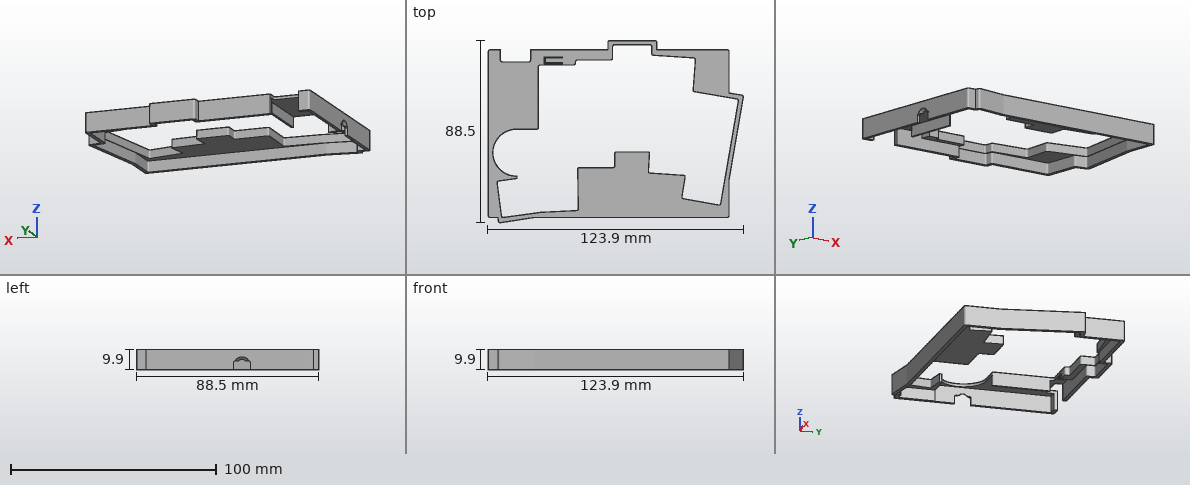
import cadquery as cq
import math


height = 9.9
plate_thickness = 4.3
thin_roof = 1.5
plate_underside = height - plate_thickness
pocket_top = height - thin_roof

wall = 1.9
corner_radius = 1.0
body_width = 117.0
body_depth = 81.5
back_bump_left = 58.05
back_bump_right = 81.9
back_bump_depth = 4.45
back_bump_y = body_depth + back_bump_depth
thumb_left = 4.7
thumb_tip_x = 5.0
thumb_tip_y = -2.7
thumb_right = 22.4
wing_front_y = 18.5
wing_tip_x = 124.04
wing_tip_y = 59.35
wing_back_y = 60.5

notch_left = 5.95
notch_right = 20.6
notch_depth = 5.9

opening_radius = 0.8
plate_left_edge = 24.4
button_lip_y = 74.0
row_back_y = 76.5
bump_opening_left = 60.4
bump_opening_right = 79.4
bump_opening_back = 83.8
front_step_left = 43.4
front_step_middle = 61.4
front_step_low_y = 24.3
front_step_high_y = 31.9

ball_x = 13.65
ball_y = 31.5
ball_radius = 11.35
ball_back_y = ball_y + ball_radius
prong_end_x = 14.1
prong_end_y = 18.95

pocket_wall = 1.5
pocket_front = 20.5
pocket_back = body_depth - wall
button_pocket_right = 36.2
rib_thickness = 1.0
rib_bottom = 3.0
rib_back = 72.0

slit_width = 0.4
slit_left = 27.2
slit_right = 35.9
slit_front = 74.8
slit_back = 77.9

jack_y = 34.8
jack_slot_width = 8.4
jack_slot_height = 4.2
jack_slot_chamfer = 0.6
jack_axis_z = 2.75
jack_outer_radius = 3.6
jack_inner_radius = 2.35


def direction(start, end):
    length = math.dist(start, end)
    return ((end[0] - start[0]) / length, (end[1] - start[1]) / length)


def rounded_outline(corners):
    """Closed outline through (x, y, radius) corners; a zero radius leaves a corner sharp."""
    rounds = []
    for i, (x, y, radius) in enumerate(corners):
        back = direction((x, y), corners[i - 1][:2])
        ahead = direction((x, y), corners[(i + 1) % len(corners)][:2])
        half_angle = math.acos(back[0] * ahead[0] + back[1] * ahead[1]) / 2
        setback = radius / math.tan(half_angle)
        inset = radius / math.sin(half_angle) - radius
        bisector = direction((0, 0), (back[0] + ahead[0], back[1] + ahead[1]))
        start = (x + back[0] * setback, y + back[1] * setback)
        middle = (x + bisector[0] * inset, y + bisector[1] * inset)
        end = (x + ahead[0] * setback, y + ahead[1] * setback)
        rounds.append((start, middle, end, radius))
    outline = cq.Workplane("XY").moveTo(*rounds[0][2])
    for start, middle, end, radius in rounds[1:] + rounds[:1]:
        outline = outline.lineTo(*start)
        if radius > 0:
            outline = outline.threePointArc(middle, end)
    return outline.close()


def block(x0, x1, y0, y1, z0, z1):
    size = (x1 - x0, y1 - y0, z1 - z0)
    return cq.Workplane("XY").box(*size, centered=False).translate((x0, y0, z0))


def body_outline(radius):
    """Outer outline, with the given radius on its outward corners."""
    return rounded_outline(
        [
            (0, 0, radius),
            (thumb_left, 0, 0),
            (thumb_tip_x, thumb_tip_y, radius),
            (thumb_right, 0, 0),
            (body_width, 0, radius),
            (body_width, wing_front_y, 0),
            (wing_tip_x, wing_tip_y, radius),
            (body_width, wing_back_y, 0),
            (body_width, body_depth, radius),
            (back_bump_right, body_depth, 0),
            (back_bump_right, back_bump_y, radius),
            (back_bump_left, back_bump_y, radius),
            (back_bump_left, body_depth, 0),
            (0, body_depth, radius),
        ]
    )


def hollow():
    """Space inside the perimeter wall, under the plate."""
    inside = body_outline(0).offset2D(-wall, "intersection").extrude(plate_underside)
    return inside.edges("|Z").fillet(opening_radius)


def electronics_pocket():
    """Deeper hollow under the thin roof, reaching right below the reset button."""
    rib_left = plate_left_edge - rib_thickness
    main = block(pocket_wall, rib_left, pocket_front, pocket_back, 0, pocket_top)
    below_button = block(rib_left, button_pocket_right, rib_back, pocket_back, 0, pocket_top)
    return main.union(below_button)


def plate_edge_rib():
    rib_left = plate_left_edge - rib_thickness
    return block(rib_left, plate_left_edge, ball_back_y, rib_back, rib_bottom, height)


def key_opening():
    """Opening through the plate: straight key rows, tilted key groups and the round hole."""
    rounded_corners = [
        (plate_left_edge, ball_back_y),
        (plate_left_edge, button_lip_y),
        (42.3, button_lip_y),
        (42.5, row_back_y),
        (bump_opening_left, row_back_y),
        (bump_opening_left, bump_opening_back),
        (bump_opening_right, bump_opening_back),
        (bump_opening_right, 78.8),
        (100.6, 77.4),
        (99.4, 61.2),
        (121.5, 57.4),
        (112.7, 6.0),
        (94.0, 9.35),
        (95.8, 20.5),
        (77.8, 21.7),
        (78.4, front_step_high_y),
        (front_step_middle, front_step_high_y),
        (front_step_middle, front_step_low_y),
        (front_step_left, front_step_low_y),
        (43.7, 3.5),
    ]
    thumb_corners = [
        (25.5, 2.6, 0),
        (6.6, 0.0, opening_radius),
        (4.3, 17.6, opening_radius),
        (prong_end_x, prong_end_y, 0),
        (prong_end_x, ball_y, 0),
        (ball_x, ball_back_y, 0),
    ]
    corners = [(x, y, opening_radius) for x, y in rounded_corners] + thumb_corners
    round_hole = cq.Workplane("XY").center(ball_x, ball_y).circle(ball_radius).extrude(height)
    return rounded_outline(corners).extrude(height).union(round_hole)


def connector_notch():
    notch = block(notch_left, notch_right, body_depth - notch_depth, body_depth, 0, height)
    return notch.edges("|Z and <Y").fillet(corner_radius)


def button_slit():
    """U-shaped slit through the thin roof, open towards +X."""
    around = block(slit_left, slit_right, slit_front, slit_back, pocket_top, height)
    tongue = block(
        slit_left + slit_width,
        slit_right,
        slit_front + slit_width,
        slit_back - slit_width,
        pocket_top,
        height,
    )
    return around.cut(tongue)


def jack_opening():
    """Slot open at the bottom, topped by a cone that narrows towards the inside."""
    half_width = jack_slot_width / 2
    slot = block(0, pocket_wall, jack_y - half_width, jack_y + half_width, 0, jack_slot_height)
    slot = slot.edges("|X and >Z").chamfer(jack_slot_chamfer)
    cone = cq.Solid.makeCone(
        jack_outer_radius,
        jack_inner_radius,
        pocket_wall,
        cq.Vector(0, jack_y, jack_axis_z),
        cq.Vector(1, 0, 0),
    )
    return slot.union(cq.Workplane(cone))


result = (
    body_outline(corner_radius)
    .extrude(height)
    .cut(hollow())
    .cut(electronics_pocket())
    .union(plate_edge_rib())
    .cut(key_opening())
    .cut(connector_notch())
    .cut(button_slit())
    .cut(jack_opening())
)